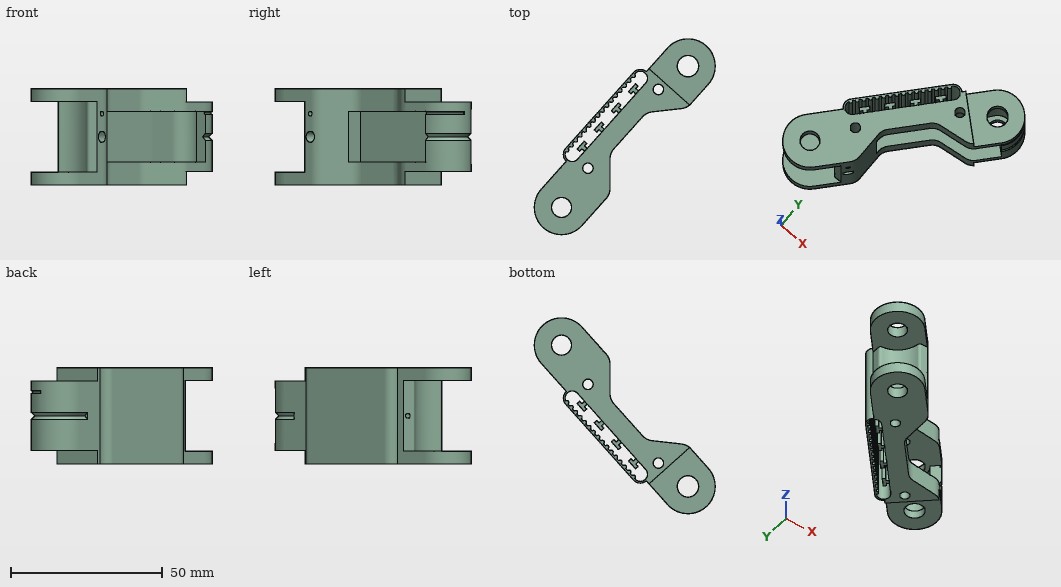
import cadquery as cq
import math


overall_x = 59.7
overall_y = 64.6
pivot_dy = 46.55
end_radius = (overall_y - pivot_dy) / 2
pivot_dx = overall_x - 2 * end_radius
link_length = math.hypot(pivot_dx, pivot_dy)
heading = math.degrees(math.atan2(pivot_dy, pivot_dx))

full_height = 31.8
fork_gap = 23.25
tab_height = 23.0
pocket_height = 16.7

fork_bore = 6.5
tab_bore = 7.0
tab_start = 53.3

waist_start = 24.0
waist_end = 41.9
flank_angle = 90 - heading
flank_run = end_radius / math.tan(math.radians(flank_angle))
waist_blend = 5.0

floor_radius = 9.55
floor_min_x = -0.1
floor_min_y = 0.7
horn_blend = 1.0

slot_start = 15.4
slot_end = 49.0
slot_middle = (slot_start + slot_end) / 2
slot_radius = 2.3
strap_thickness = 0.65
tooth_count = 16
tooth_pitch = 2.2
first_tooth_u = 15.25
tooth_radius = 0.65
tooth_depth = 0.7

rail_count = 4
rail_pitch = 8.45
rail_stem_width = 1.35
rail_cap_width = 3.5
rail_cap_thickness = 1.15
rail_height = 2.3
rail_recess = 1.55

pocket_start = 21.95
pocket_knee = 50.75
pocket_radius = 5.05
flare_angle = 4.4
knee_blend = 9.05

screw_hole = 3.35
screw_us = (15.45, 50.25)
screw_v = 2.1
cord_u = 11.4
main_hole = 3.6
main_hole_depth = 15.2
side_hole = 1.55
side_hole_z = 7.6
side_hole_depth = 7.75
pin_hole = 1.55
pin_y = 11.9

main_groove_depth = 1.15
main_groove_start = 58.25
side_groove_depth = 0.55

margin = 3.2


def prism(sketch, height):
    """Extrude a closed outline symmetrically about Z = 0."""
    return sketch.extrude(height / 2, both=True)


def cylinder(u, v, diameter, height):
    return prism(cq.Workplane("XY").center(u, v).circle(diameter / 2), height)


def capsule(radius):
    length = slot_end - slot_start + 2 * radius
    outline = cq.Workplane("XY").center(slot_middle, end_radius).slot2D(length, 2 * radius)
    return prism(outline, full_height)


def vertical_edge_at(u, v):
    reach = 0.05
    return cq.selectors.BoxSelector(
        (u - reach, v - reach, -full_height), (u + reach, v + reach, full_height), boundingbox=False
    )


def make_body():
    waist_corners = [
        (waist_start - flank_run, -end_radius),
        (waist_start, 0),
        (waist_end, 0),
        (waist_end + flank_run, -end_radius),
    ]
    outline = cq.Workplane("XY").moveTo(0, -end_radius)
    for corner in waist_corners:
        outline = outline.lineTo(*corner)
    outline = (
        outline.lineTo(link_length, -end_radius)
        .threePointArc((link_length + end_radius, 0), (link_length, end_radius))
        .lineTo(0, end_radius)
        .threePointArc((-end_radius, 0), (0, -end_radius))
        .close()
    )
    body = prism(outline, full_height)
    for corner in waist_corners:
        body = body.edges(vertical_edge_at(*corner)).fillet(waist_blend)
    return body


def make_teeth():
    root_v = end_radius + slot_radius
    tip_centre_v = root_v - tooth_depth + tooth_radius
    teeth = cq.Workplane("XY")
    for index in range(tooth_count):
        u = first_tooth_u + index * tooth_pitch
        teeth = teeth.union(cylinder(u, tip_centre_v, 2 * tooth_radius, full_height))
    return teeth


def make_rails():
    wall_v = end_radius - slot_radius
    cap_v = wall_v + rail_height - rail_cap_thickness / 2
    rail_length = full_height - 2 * rail_recess
    first_u = slot_middle - (rail_count - 1) * rail_pitch / 2
    rails = cq.Workplane("XY")
    for index in range(rail_count):
        u = first_u + index * rail_pitch
        stem = cq.Workplane("XY").box(rail_stem_width, 2 * rail_height - rail_cap_thickness, rail_length)
        cap = cq.Workplane("XY").box(rail_cap_width, rail_cap_thickness, rail_length)
        rails = rails.union(stem.translate((u, wall_v, 0))).union(cap.translate((u, cap_v, 0)))
    return rails


def make_tab_relief():
    """Slabs above and below the tab."""
    length = link_length + end_radius + margin - tab_start
    slab = cq.Workplane("XY").box(length, 4 * end_radius, full_height)
    tab_slice = cq.Workplane("XY").box(length, 4 * end_radius, tab_height)
    return slab.cut(tab_slice).translate((tab_start + length / 2, 0, 0))


def make_fork_gap():
    """Space between the cheeks, in the final (turned) XY directions."""
    span = 2 * end_radius
    gap = cq.Workplane("XY").box(2 * span, 2 * span, fork_gap)
    horns = (
        cq.Workplane("XY")
        .box(3 * span, 3 * span, full_height, centered=(False, False, True))
        .translate((floor_min_x, floor_min_y, 0))
        .cut(cylinder(0, 0, 2 * floor_radius, full_height))
    )
    horn_tips = [
        (floor_min_x, math.sqrt(floor_radius**2 - floor_min_x**2)),
        (math.sqrt(floor_radius**2 - floor_min_y**2), floor_min_y),
    ]
    for tip in horn_tips:
        horns = horns.edges(vertical_edge_at(*tip)).fillet(horn_blend)
    return gap.cut(horns)


def make_pocket():
    flare = math.radians(flare_angle)
    flare_end = (
        link_length - pocket_radius * math.sin(flare),
        pocket_radius * math.cos(flare),
    )
    knee_v = flare_end[1] - (flare_end[0] - pocket_knee) * math.tan(flare)
    knee_setback = knee_blend * math.tan(flare / 2)
    blend_start = (pocket_knee - knee_setback, knee_v)
    blend_middle = (
        blend_start[0] + knee_blend * math.sin(flare / 2),
        knee_v + knee_blend * (1 - math.cos(flare / 2)),
    )
    blend_end = (
        pocket_knee + knee_setback * math.cos(flare),
        knee_v + knee_setback * math.sin(flare),
    )
    open_v = -end_radius - margin
    outline = (
        cq.Workplane("XY")
        .moveTo(pocket_start, open_v)
        .lineTo(pocket_start, knee_v)
        .lineTo(*blend_start)
        .threePointArc(blend_middle, blend_end)
        .lineTo(*flare_end)
        .threePointArc((link_length + pocket_radius, 0), (link_length, -pocket_radius))
        .lineTo(link_length, open_v)
        .close()
    )
    return prism(outline, pocket_height)


def make_cord_hole(diameter, depth, z):
    """Blind hole straight in from the -v face."""
    face = cq.Workplane("XZ", origin=(cord_u, -end_radius, z))
    return face.circle(diameter / 2).extrude(-depth)


def make_pin_hole():
    """From the fork floor along the final X direction to the axis of the main cord hole."""
    turn = math.radians(heading)
    end_x = (cord_u - pin_y * math.sin(turn)) / math.cos(turn)
    face = cq.Workplane("YZ", origin=(floor_min_x, pin_y, 0))
    return face.circle(pin_hole / 2).extrude(end_x - floor_min_x)


def groove_profile(depth, z):
    """V with 45 degree flanks, its point `depth` inside the rounded end and opening outwards."""
    return cq.Workplane("XZ").polyline(
        [
            (end_radius - depth, z),
            (2 * end_radius - depth, z + end_radius),
            (2 * end_radius - depth, z - end_radius),
        ]
    ).close()


def make_groove(depth, z, sweep, straight):
    """V groove around the tab end from its -v side, then straight back along the +v side."""
    groove = groove_profile(depth, z).revolve(sweep, (0, 0, 0), (0, 1, 0))
    groove = groove.rotate((0, 0, 0), (0, 0, 1), -90)
    if straight > 0:
        run = groove_profile(depth, z).extrude(-straight)
        groove = groove.union(run.rotate((0, 0, 0), (0, 0, 1), 90))
    return groove.translate((link_length, 0, 0))


link = make_body().union(capsule(slot_radius + strap_thickness))
link = link.cut(capsule(slot_radius))
link = link.union(make_teeth().intersect(capsule(slot_radius + strap_thickness / 2)))
link = link.union(make_rails())
link = link.cut(make_tab_relief()).cut(make_pocket())

link = link.cut(cylinder(0, 0, fork_bore, full_height))
link = link.cut(cylinder(link_length, 0, tab_bore, full_height))
for screw_u in screw_us:
    link = link.cut(cylinder(screw_u, screw_v, screw_hole, full_height))
link = link.cut(make_cord_hole(main_hole, main_hole_depth, 0))
link = link.cut(make_cord_hole(side_hole, side_hole_depth, side_hole_z))

side_groove_z = pocket_height / 2 - side_groove_depth
link = link.cut(make_groove(main_groove_depth, 0, 180, link_length - main_groove_start))
link = link.cut(make_groove(side_groove_depth, side_groove_z, 90, 0))

result = link.rotate((0, 0, 0), (0, 0, 1), heading).cut(make_fork_gap()).cut(make_pin_hole())